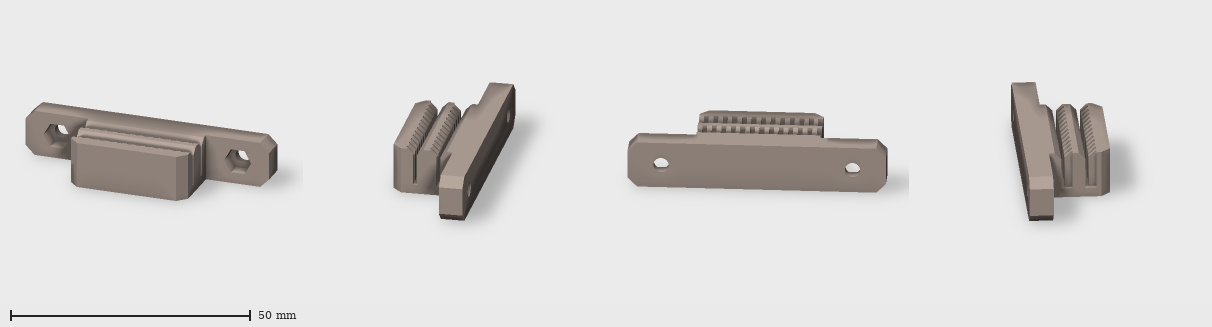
import cadquery as cq

plate_length = 54.0
plate_thickness = 5.0
height = 10.0
corner_chamfer = 2.0

total_depth = 18.0
block_width = 26.0

hole_spacing = 40.0
hole_diameter = 3.2
nut_across_corners = 6.0
nut_pocket_depth = 3.0

slot_count = 2
slot_pitch = plate_thickness
first_slot_distance = 7.6
slot_floor = 2.0
belt_gap = 0.8
groove_reach = 2.4
lead_in = 1.35
tooth_count = 13
tooth_pitch = block_width / tooth_count
groove_width = tooth_pitch / 2


def make_plate():
    plate = cq.Workplane("XY").box(plate_length, plate_thickness, height, centered=(True, False, False))
    plate = plate.translate((0, -plate_thickness, 0))
    return plate.edges("|Y").chamfer(corner_chamfer)


def make_block():
    block = cq.Workplane("XY").box(block_width, total_depth, height, centered=(True, False, False))
    block = block.translate((0, -total_depth, 0))
    return block.edges("|Z and <Y").chamfer(corner_chamfer)


def extrude_along_x(points, start, length):
    """Extrude a (Y, Z) outline from X = start towards +X."""
    return cq.Workplane("YZ").workplane(offset=start).polyline(points).close().extrude(length)


def make_belt_slot(wall_distance):
    """Straight belt passage with a bevelled mouth and grooves on its front side."""
    wall = -wall_distance
    ridge_tip = wall - belt_gap
    groove_bottom = wall - groove_reach
    bevel_start = height - lead_in
    passage_outline = [
        (wall, slot_floor),
        (wall, bevel_start),
        (wall + lead_in, height),
        (ridge_tip - lead_in, height),
        (ridge_tip, bevel_start),
        (ridge_tip, slot_floor),
    ]
    groove_outline = [
        (wall, slot_floor),
        (wall, height),
        (groove_bottom, height),
        (groove_bottom, slot_floor),
    ]
    slot = extrude_along_x(passage_outline, -block_width / 2, block_width)
    for index in range(tooth_count):
        groove_start = -block_width / 2 + index * tooth_pitch
        slot = slot.union(extrude_along_x(groove_outline, groove_start, groove_width))
    return slot


def make_screw_cut(x):
    """Through hole along Y with a nut pocket sunk from the plate's front face."""
    centre = (x, height / 2)
    hole = cq.Workplane("XZ").center(*centre).circle(hole_diameter / 2).extrude(plate_thickness)
    pocket = (
        cq.Workplane("XZ")
        .workplane(offset=plate_thickness - nut_pocket_depth)
        .center(*centre)
        .polygon(6, nut_across_corners)
        .extrude(nut_pocket_depth)
    )
    return hole.union(pocket)


result = make_plate().union(make_block())
for slot_index in range(slot_count):
    result = result.cut(make_belt_slot(first_slot_distance + slot_index * slot_pitch))
for side in (-1, 1):
    result = result.cut(make_screw_cut(side * hole_spacing / 2))